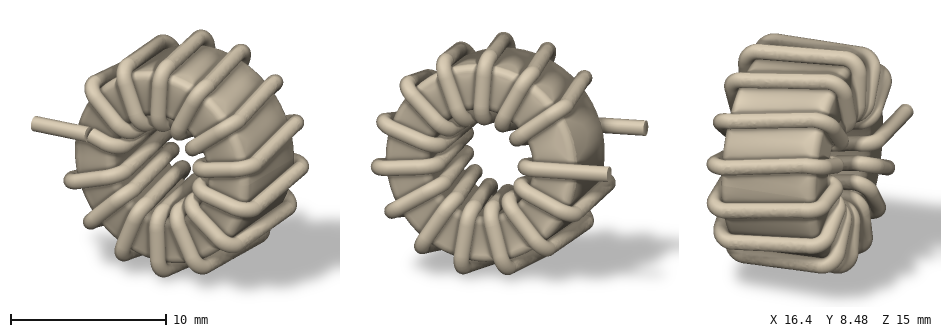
import cadquery as cq
import math


core_diameter = 13.0
bore_diameter = 7.0
core_length = 6.5
core_fillet = 0.5

wire_diameter = 1.0
wire_radius = wire_diameter / 2
seat_depth = 0.008

turn_count = 13
start_angle = 180.0
winding_sweep = 341.5
outer_advance = 7.8
turn_pitch = (winding_sweep + outer_advance) / (turn_count + 1)
inner_advance = turn_pitch - outer_advance
stub_angle = start_angle + winding_sweep

lead_tip_x = -8.98
front_lead_end_x = -4.97

wire_standoff = wire_radius - seat_depth
bend_radius = core_fillet + wire_standoff
face_y = core_length / 2 + wire_standoff
bend_y = face_y - bend_radius
outer_leg_radius = core_diameter / 2 + wire_standoff
inner_leg_radius = bore_diameter / 2 - wire_standoff
outer_bend_start = outer_leg_radius - bend_radius
inner_bend_end = inner_leg_radius + bend_radius
stub_end_radius = (inner_bend_end + outer_bend_start) / 2
front_lead_z = stub_end_radius * math.sin(math.radians(stub_angle))

FRONT = -1
BACK = 1


def make_core():
    """Ring with all four circular edges rounded."""
    back_face = cq.Workplane("XZ", origin=(0, core_length / 2, 0))
    ring = back_face.circle(core_diameter / 2).circle(bore_diameter / 2).extrude(core_length)
    return ring.edges("%CIRCLE").fillet(core_fillet)


def wire_disc(radius, angle, y):
    """Round wire section facing Y, at a polar place around the core's axis."""
    turn = math.radians(angle)
    center = cq.Vector(radius * math.cos(turn), y, radius * math.sin(turn))
    circle = cq.Wire.makeCircle(wire_radius, center, cq.Vector(0, 1, 0))
    return cq.Face.makeFromWires(circle), center


def slanted_leg(radius, back_angle, front_angle):
    """Straight wire along the core's side or bore, from its back bend to its front bend."""
    back_disc, back_center = wire_disc(radius, back_angle, bend_y)
    _, front_center = wire_disc(radius, front_angle, -bend_y)
    return cq.Solid.extrudeLinear(back_disc, front_center - back_center)


def face_wire(side, angle, end_radius, outer_bend=False):
    """Radial wire over one face, bent into the bore and, if asked, over the rim."""
    bend_dip = bend_radius * (1 - math.sqrt(0.5))
    path = (
        cq.Workplane("XY")
        .moveTo(inner_leg_radius, side * bend_y)
        .threePointArc(
            (inner_leg_radius + bend_dip, side * (face_y - bend_dip)),
            (inner_bend_end, side * face_y),
        )
        .lineTo(end_radius, side * face_y)
    )
    if outer_bend:
        path = path.threePointArc(
            (outer_leg_radius - bend_dip, side * (face_y - bend_dip)),
            (outer_leg_radius, side * bend_y),
        )
    section = cq.Workplane("XZ", origin=(inner_leg_radius, side * bend_y, 0)).circle(wire_radius)
    return section.sweep(path).rotate((0, 0, 0), (0, 1, 0), -angle).val()


def make_winding():
    """Full turns: bore leg to the front, front face, outer leg to the back, back face."""
    pieces = []
    for turn in range(turn_count):
        back_angle = start_angle + turn * turn_pitch
        front_angle = back_angle + inner_advance
        next_back_angle = back_angle + turn_pitch
        pieces += [
            slanted_leg(inner_leg_radius, back_angle, front_angle),
            face_wire(FRONT, front_angle, outer_bend_start, outer_bend=True),
            slanted_leg(outer_leg_radius, next_back_angle, front_angle),
            face_wire(BACK, next_back_angle, outer_bend_start, outer_bend=True),
        ]
    return pieces


def make_wire_ends():
    """Back lead, last bore leg, the stub after it, and the front lead just clear of the stub."""
    last_back_angle = start_angle + turn_count * turn_pitch
    front_lead = cq.Solid.makeCylinder(
        wire_radius,
        front_lead_end_x - lead_tip_x,
        cq.Vector(lead_tip_x, -face_y, front_lead_z),
        cq.Vector(1, 0, 0),
    )
    return [
        face_wire(BACK, start_angle, -lead_tip_x),
        slanted_leg(inner_leg_radius, last_back_angle, stub_angle),
        face_wire(FRONT, stub_angle, stub_end_radius),
        front_lead,
    ]


core = make_core().val()
result = cq.Workplane(core.fuse(*make_winding(), *make_wire_ends()))